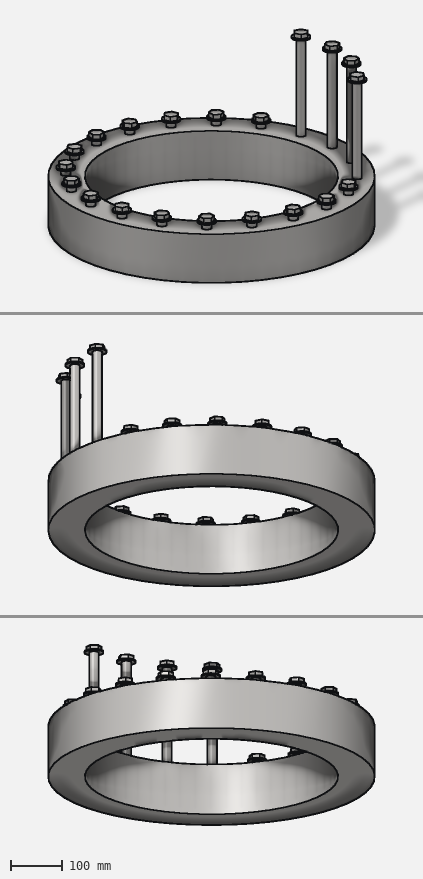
import cadquery as cq
import math

ring_diameter = 635.0
bore_diameter = 492.0
ring_height = 101.5

bolt_count = 20
bolt_pitch = 360 / bolt_count
first_bolt_angle = bolt_pitch / 2
bolt_circle_radius = 283.0
raised_bolts = range(3, 7)

shank_diameter = 19.0
washer_diameter = 37.0
washer_thickness = 2.5
head_across_flats = 26.0
head_across_corners = head_across_flats / math.cos(math.pi / 6)
head_height = 9.5
seated_top = ring_height + 25.0
raised_top = 316.0

head_turn = 30 + bolt_pitch / 2


def disc(diameter, base, top):
    """Solid cylinder on the Z axis."""
    return cq.Workplane("XY").workplane(offset=base).circle(diameter / 2).extrude(top - base)


def make_bolt(top):
    """Hex-headed bolt with a washer, on the Z axis, reaching from the ring base up to top."""
    head_base = top - head_height
    shank = disc(shank_diameter, 0, head_base)
    washer = disc(washer_diameter, head_base - washer_thickness, head_base)
    head = (
        cq.Workplane("XY")
        .workplane(offset=head_base)
        .polygon(6, head_across_corners)
        .extrude(head_height)
        .rotate((0, 0, 0), (0, 0, 1), head_turn)
    )
    return shank.union(washer).union(head)


result = (
    cq.Workplane("XY")
    .circle(ring_diameter / 2)
    .circle(bore_diameter / 2)
    .extrude(ring_height)
)

for index in range(bolt_count):
    bolt_top = raised_top if index in raised_bolts else seated_top
    bolt_angle = first_bolt_angle + index * bolt_pitch
    bolt = (
        make_bolt(bolt_top)
        .translate((bolt_circle_radius, 0, 0))
        .rotate((0, 0, 0), (0, 0, 1), bolt_angle)
    )
    result = result.union(bolt)